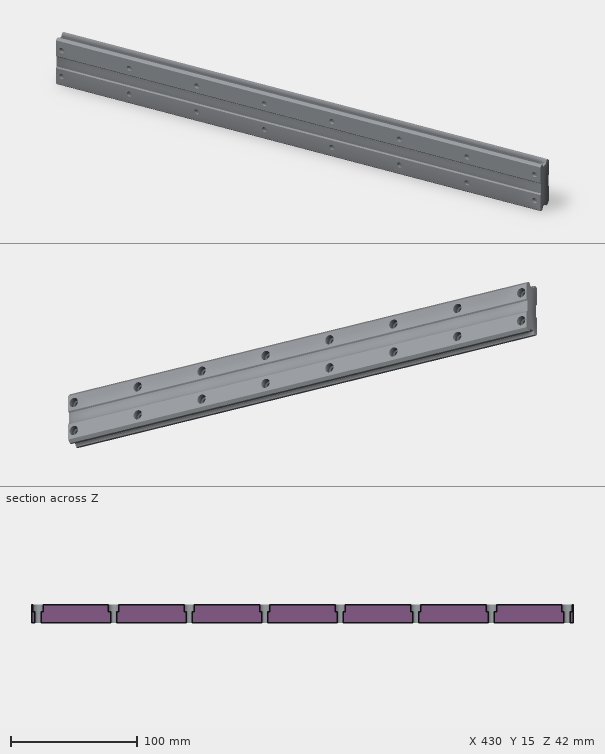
import cadquery as cq

length = 430.0
thickness = 15.0
height = 42.0

channel_depth = 2.65
back_edge_chamfer = 2.35
back_lip_width = 4.5
channel_width = 7.5
channel_slope = 1.5
front_edge_chamfer = 1.0

relief_width = 11.0
relief_depth = 1.0
relief_slope = 1.0

holes_per_row = 8
end_margin = 5.0
row_spacing = 24.0
hole_radius = 2.25
counterbore_diameter = 7.7
counterbore_depth = 5.5

front_y = -thickness / 2
back_y = thickness / 2
half_height = height / 2
channel_z = half_height - channel_depth
channel_back_y = back_y - back_lip_width
channel_front_y = channel_back_y - channel_width


def make_bar():
    """Extrude the symmetric rail section along X."""
    relief_floor = relief_width / 2 - relief_slope
    upper_half = [
        (front_y + relief_depth, relief_floor),
        (front_y, relief_width / 2),
        (front_y, half_height - front_edge_chamfer),
        (front_y + front_edge_chamfer, half_height),
        (channel_front_y, half_height),
        (channel_front_y + channel_slope, channel_z),
        (channel_back_y - channel_slope, channel_z),
        (channel_back_y, half_height),
        (back_y - back_edge_chamfer, half_height),
        (back_y, half_height - back_edge_chamfer),
        (back_y, relief_width / 2),
        (back_y - relief_depth, relief_floor),
    ]
    lower_half = [(y, -z) for y, z in reversed(upper_half)]
    end_face = cq.Workplane("YZ", origin=(-length / 2, 0, 0))
    section = end_face.polyline(upper_half + lower_half).close()
    return section.extrude(length)


def drill_holes(bar):
    """Drill the screw holes through in Y, counterbored from the +Y face."""
    pitch = (length - 2 * end_margin) / (holes_per_row - 1)
    back_face = cq.Workplane("XZ", origin=(0, back_y, 0))
    centers = back_face.rarray(pitch, row_spacing, holes_per_row, 2)
    holes = centers.circle(hole_radius).extrude(thickness)
    counterbores = centers.circle(counterbore_diameter / 2).extrude(counterbore_depth)
    return bar.cut(holes).cut(counterbores)


result = drill_holes(make_bar())